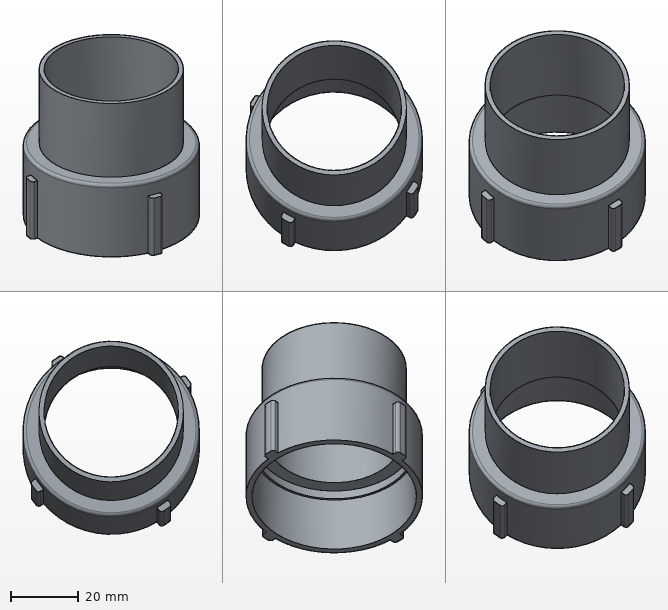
import cadquery as cq

overall_width = 56.6
overall_height = 49.5
collar_diameter = 52.6
collar_height = 24.5
tube_diameter = 43.0
bore_diameter = 40.0
socket_diameter = 49.0
seat_diameter = 47.8
seat_height = 3.0
shoulder_thickness = 2.5
seat_top = collar_height - shoulder_thickness
socket_depth = seat_top - seat_height
edge_radius = 1.0
rib_width = 4.0
rib_height = 19.45
rib_count = 4


def make_cylinder(diameter, height):
    return cq.Workplane("XY").circle(diameter / 2).extrude(height)


def make_rib(angle):
    """Grip rib with rounded outer edges, rooted inside the collar wall."""
    root_radius = (socket_diameter + collar_diameter) / 4
    rib_depth = overall_width / 2 - root_radius
    rib = (
        cq.Workplane("XY")
        .center(root_radius + rib_depth / 2, 0)
        .rect(rib_depth, rib_width)
        .extrude(rib_height)
        .edges("|Z and >X")
        .fillet(edge_radius)
    )
    return rib.rotate((0, 0, 0), (0, 0, 1), angle)


collar = make_cylinder(collar_diameter, collar_height).faces(">Z").edges().fillet(edge_radius)
body = collar.union(make_cylinder(tube_diameter, overall_height))

for index in range(rib_count):
    body = body.union(make_rib(index * 360 / rib_count))

body = body.cut(make_cylinder(bore_diameter, overall_height))
body = body.cut(make_cylinder(seat_diameter, seat_top))
result = body.cut(make_cylinder(socket_diameter, socket_depth))